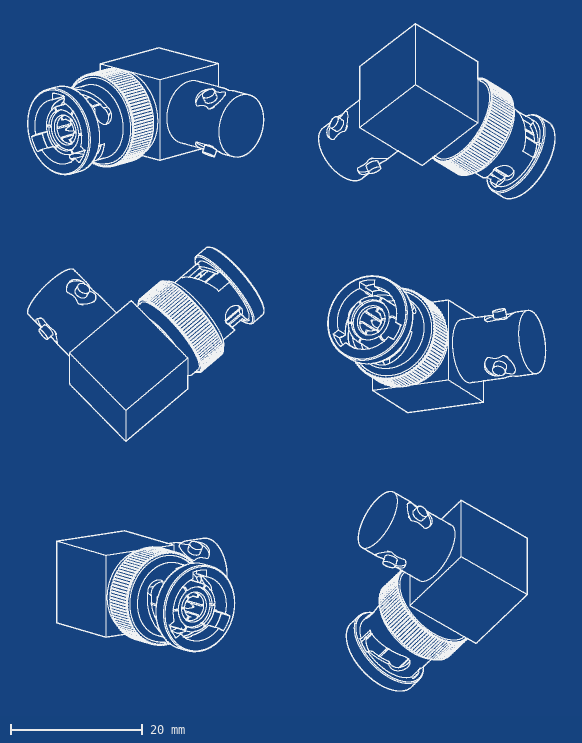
import cadquery as cq
import math

block_side = 12.74
jack_radius = 4.87
jack_end = 17.45

stud_x = 13.15
stud_radius = 1.0
stud_tip = 5.55
stud_angles = [0, 120, 240]
seat_radius = 2.4
seat_height = 4.45
groove_half_width = 1.13
groove_depth = 0.15

block_front = -block_side / 2
nut_back = -6.95
knurl_back = -8.45
knurl_front = -13.02
shoulder_front = -13.67
flange_back = -19.58
plug_front = -21.93
contact_floor = shoulder_front
outer_contact_front = -20.75
insulator_front = -20.43
inner_contact_front = -20.23
pin_tip = -20.23

nut_radius = 6.68
nut_bore_radius = 4.98
sleeve_radius = 5.72
shoulder_round = 0.28
flange_bevel = 0.17
knurl_radius = 7.25
knurl_root_radius = 7.02
knurl_teeth = 90
tooth_half_width = 0.33
knurl_edge = 0.15

slot_count = 3
slot_turn = 60.0
channel_width = 2.45
channel_radius = 5.97
detent_y = -17.18
detent_radius = 1.6
ramp_slope = 0.29
ramp_back = -15.56
ramp_width = 2.52
channel_back = -17.4

neck_radius = 5.07
outer_contact_radius = 3.82
outer_contact_bore = 3.17
insulator_radius = 3.1
insulator_round = 0.25
insulator_bore = 2.32
outer_contact_round = 0.25
inner_contact_radius = 2.18
inner_contact_bore = 1.58
inner_contact_outer_round = 0.42
inner_contact_inner_round = 0.1
contact_slots = 6
contact_slot_width = 0.23

pin_radius = 0.5
pin_tip_radius = 0.1
pin_taper = 1.42

INNER_RIM = 0
OUTER_RIM = -1


def plug_tube(outer, inner, back, front):
    """Tube on the plug axis; an inner radius of 0 gives a rod."""
    sketch = cq.Workplane("XZ", origin=(0, back, 0)).circle(outer)
    if inner > 0:
        sketch = sketch.circle(inner)
    return sketch.extrude(back - front)


def about_plug_axis(shape, angle):
    return shape.rotate((0, 0, 0), (0, 1, 0), angle)


def make_stud_seat():
    """Round flat-bottomed seat below the stud that points along +Y."""
    return (
        cq.Workplane("XZ", origin=(stud_x, seat_height, 0))
        .circle(seat_radius)
        .extrude(seat_height - stud_tip)
    )


def make_stud():
    return (
        cq.Workplane("XZ", origin=(stud_x, 0, 0))
        .circle(stud_radius)
        .extrude(-stud_tip)
    )


def make_jack():
    jack = cq.Workplane("YZ").circle(jack_radius).extrude(jack_end)
    groove = (
        cq.Workplane("XY")
        .moveTo(stud_x - groove_half_width, jack_radius)
        .threePointArc(
            (stud_x, jack_radius - groove_depth),
            (stud_x + groove_half_width, jack_radius),
        )
        .close()
        .revolve(360, (0, 0, 0), (1, 0, 0))
    )
    jack = jack.cut(groove)
    for angle in stud_angles:
        jack = jack.cut(make_stud_seat().rotate((0, 0, 0), (1, 0, 0), angle))
    for angle in stud_angles:
        jack = jack.union(make_stud().rotate((0, 0, 0), (1, 0, 0), angle))
    return jack


def cut_contact_slots(contact, radius, back, front):
    """Split a contact tube into equal spring fingers."""
    for i in range(contact_slots // 2):
        slot = cq.Workplane("XY").box(2 * radius, back - front, contact_slot_width)
        slot = slot.translate((0, (back + front) / 2, 0))
        contact = contact.cut(about_plug_axis(slot, i * 360 / contact_slots))
    return contact


def round_front_rim(tube, rim, radius):
    """Round the inner or outer rim of a tube's front face."""
    rim_edge = cq.selectors.RadiusNthSelector(rim)
    return tube.faces("<Y").edges("%CIRCLE").edges(rim_edge).fillet(radius)


def make_plug_barrel():
    neck = plug_tube(neck_radius, 0, 0, nut_back)
    base = plug_tube(nut_bore_radius, 0, nut_back, contact_floor)

    outer_contact = plug_tube(
        outer_contact_radius, outer_contact_bore, contact_floor, outer_contact_front
    )
    outer_contact = round_front_rim(outer_contact, OUTER_RIM, outer_contact_round)
    outer_contact = cut_contact_slots(
        outer_contact, outer_contact_radius, contact_floor, outer_contact_front
    )

    insulator = plug_tube(insulator_radius, insulator_bore, contact_floor, insulator_front)
    insulator = round_front_rim(insulator, OUTER_RIM, insulator_round)

    inner_contact = plug_tube(
        inner_contact_radius, inner_contact_bore, contact_floor, inner_contact_front
    )
    inner_contact = round_front_rim(inner_contact, OUTER_RIM, inner_contact_outer_round)
    inner_contact = round_front_rim(inner_contact, INNER_RIM, inner_contact_inner_round)
    inner_contact = cut_contact_slots(
        inner_contact, inner_contact_radius, contact_floor, inner_contact_front
    )
    return neck.union(base).union(outer_contact).union(insulator).union(inner_contact)


def make_housing():
    block = cq.Workplane("XY").box(block_side, block_side, block_side)
    pin_hole = plug_tube(pin_radius, 0, block_front, plug_front)
    return block.union(make_jack()).union(make_plug_barrel()).cut(pin_hole)


def make_pin():
    return plug_tube(pin_radius, 0, block_front, pin_tip).faces("<Y").chamfer(
        pin_taper, pin_radius - pin_tip_radius
    )


def knurl_point(radius, step):
    """Point at a given radius, a number of tooth pitches around from +X."""
    angle = 2 * math.pi * step / knurl_teeth
    return (radius * math.cos(angle), radius * math.sin(angle))


def make_knurl():
    """Ring of round teeth with bevelled ends."""
    outline = cq.Workplane("XZ", origin=(0, knurl_back, 0))
    outline = outline.moveTo(*knurl_point(knurl_root_radius, -tooth_half_width))
    for tooth in range(knurl_teeth):
        crest = knurl_point(knurl_radius, tooth)
        tooth_end = knurl_point(knurl_root_radius, tooth + tooth_half_width)
        outline = outline.threePointArc(crest, tooth_end)
        if tooth < knurl_teeth - 1:
            next_tooth = tooth + 1 - tooth_half_width
            outline = outline.lineTo(*knurl_point(knurl_root_radius, next_tooth))
    teeth = outline.close().extrude(knurl_back - knurl_front)
    envelope = plug_tube(knurl_radius, 0, knurl_back, knurl_front).edges().chamfer(knurl_edge)
    return teeth.intersect(envelope)


def make_bayonet_slot():
    """Slot from the front channel up a ramp to the detent hole, centred on the -X side."""
    middle_x = -sleeve_radius / 2
    detent = (
        cq.Workplane("XY")
        .circle(detent_radius)
        .extrude(channel_radius)
        .translate((0, detent_y, 0))
    )
    detent = about_plug_axis(detent, -90 + slot_turn / 2)

    channel = cq.Workplane("XY").box(channel_width, channel_back - plug_front, 2 * channel_radius)
    channel = channel.translate((0, (channel_back + plug_front) / 2, channel_radius))
    channel = channel.intersect(plug_tube(channel_radius, 0, channel_back, plug_front))
    channel = about_plug_axis(channel, -90 - slot_turn / 2)

    half_turn = math.radians(slot_turn / 2)
    ramp_top = sleeve_radius * math.sin(half_turn)
    ramp_bottom = -(nut_bore_radius * math.sin(half_turn) + channel_width / 2 * math.cos(half_turn))
    ramp_front = ramp_back - ramp_width
    ramp = (
        cq.Workplane("YZ", origin=(middle_x, 0, 0))
        .polyline([
            (ramp_back, ramp_top),
            (ramp_back - ramp_slope * (ramp_top - ramp_bottom), ramp_bottom),
            (flange_back, ramp_bottom),
            (flange_back, ramp_top - (ramp_front - flange_back) / ramp_slope),
            (ramp_front, ramp_top),
        ])
        .close()
        .extrude(middle_x - channel_radius + sleeve_radius)
    )
    return detent.union(channel).union(ramp)


def make_nut():
    shoulder = plug_tube(nut_radius, 0, nut_back, shoulder_front).edges().fillet(shoulder_round)
    sleeve = plug_tube(sleeve_radius, 0, shoulder_front, flange_back)
    flange = plug_tube(nut_radius, 0, flange_back, plug_front).edges().chamfer(flange_bevel)
    nut = shoulder.union(make_knurl()).union(sleeve).union(flange)
    nut = nut.cut(plug_tube(nut_bore_radius, 0, nut_back, plug_front))
    for i in range(slot_count):
        nut = nut.cut(about_plug_axis(make_bayonet_slot(), i * 360 / slot_count))
    return nut


housing = make_housing()
nut = make_nut()
pin = make_pin()

result = cq.Compound.makeCompound([housing.val(), nut.val(), pin.val()])